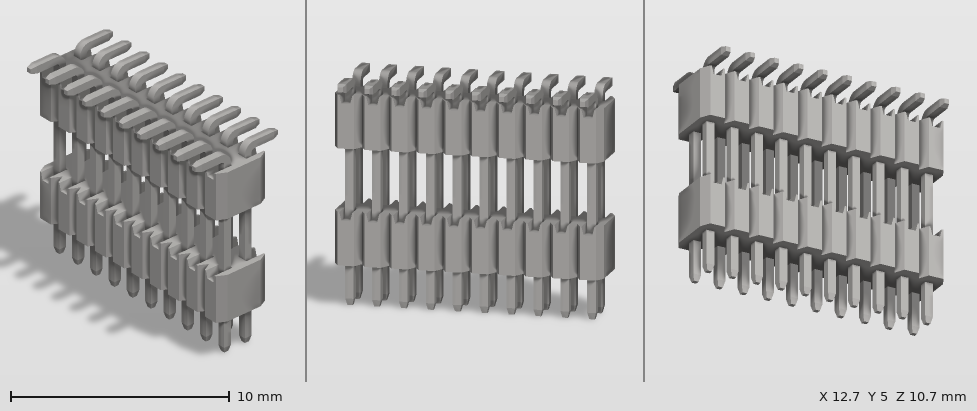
import cadquery as cq
import math

pin_count = 10
pitch = 1.27
row_spacing = 1.26

body_length = pin_count * pitch
body_width = 3.0
body_height = 2.5
body_gap = 3.0
upper_body_bottom = body_height + body_gap
upper_body_top = upper_body_bottom + body_height

notch_half_width = 0.25
notch_depth = 0.5

slot_depth = 0.4
slot_top_width = 0.61

pin_width = 0.41
pin_tip_width = 0.24
pin_tip_length = 0.32
pin_tail = 2.01
pin_rise = 0.7
pin_span = 5.0
bend_inner_radius = 0.18

pin_inner_y = (row_spacing - pin_width) / 2
pin_outer_y = pin_inner_y + pin_width
pin_top = upper_body_top + pin_rise
pin_xs = [(i - (pin_count - 1) / 2) * pitch for i in range(pin_count)]


def mirrored_rows(solid):
    """Add the copy belonging to the opposite pin row."""
    return solid.union(solid.mirror("XZ"))


def repeated_along_x(solid, positions):
    """Place a copy of the solid at each X position."""
    copies = cq.Workplane("XY")
    for x in positions:
        copies = copies.add(solid.val().moved(cq.Location(cq.Vector(x, 0, 0))))
    return copies.combine()


def make_notches():
    """V cutters along the +Y wall, centred on the edges of every position."""
    wall_y = body_width / 2
    notch = (
        cq.Workplane("XY")
        .polyline([(-notch_half_width, wall_y), (0, wall_y - notch_depth), (notch_half_width, wall_y)])
        .close()
        .extrude(body_height)
    )
    edge_xs = [i * pitch - body_length / 2 for i in range(pin_count + 1)]
    return repeated_along_x(notch, edge_xs)


def make_slots():
    """Cutters as wide as the pin at the floor, flaring toward the body top."""
    floor_z = body_height - slot_depth
    slot = (
        cq.Workplane("XZ", origin=(0, body_width / 2, 0))
        .polyline([
            (-pin_width / 2, floor_z),
            (pin_width / 2, floor_z),
            (slot_top_width / 2, body_height),
            (-slot_top_width / 2, body_height),
        ])
        .close()
        .extrude(body_width / 2 - pin_inner_y)
    )
    return repeated_along_x(slot, pin_xs)


def make_body():
    """Insulator body standing on Z = 0."""
    block = cq.Workplane("XY").box(body_length, body_width, body_height, centered=(True, True, False))
    return block.cut(mirrored_rows(make_notches())).cut(mirrored_rows(make_slots()))


def make_tip(plane):
    """Square taper starting on the given plane and narrowing along its normal."""
    return (
        cq.Workplane(plane)
        .rect(pin_width, pin_width)
        .workplane(offset=pin_tip_length)
        .rect(pin_tip_width, pin_tip_width)
        .loft(ruled=True)
    )


def make_pin():
    """One +Y row pin at X = 0: straight shank, outward bend and two tapered tips."""
    shank_bottom = pin_tip_length - pin_tail
    arm_end = pin_span / 2 - pin_tip_length
    arm_bottom = pin_top - pin_width
    bend_outer_radius = bend_inner_radius + pin_width
    bend_y = pin_outer_y + bend_inner_radius
    bend_z = arm_bottom - bend_inner_radius
    diagonal = math.sqrt(0.5)
    outer_mid = (bend_y - bend_outer_radius * diagonal, bend_z + bend_outer_radius * diagonal)
    inner_mid = (bend_y - bend_inner_radius * diagonal, bend_z + bend_inner_radius * diagonal)

    shank = (
        cq.Workplane("YZ")
        .moveTo(pin_inner_y, shank_bottom)
        .lineTo(pin_inner_y, bend_z)
        .threePointArc(outer_mid, (bend_y, pin_top))
        .lineTo(arm_end, pin_top)
        .lineTo(arm_end, arm_bottom)
        .lineTo(bend_y, arm_bottom)
        .threePointArc(inner_mid, (pin_outer_y, bend_z))
        .lineTo(pin_outer_y, shank_bottom)
        .close()
        .extrude(pin_width / 2, both=True)
    )
    tail_plane = cq.Plane(origin=(0, row_spacing / 2, shank_bottom), xDir=(1, 0, 0), normal=(0, 0, -1))
    arm_plane = cq.Plane(origin=(0, arm_end, pin_top - pin_width / 2), xDir=(1, 0, 0), normal=(0, 1, 0))
    return shank.union(make_tip(tail_plane)).union(make_tip(arm_plane))


body = make_body()
pins = mirrored_rows(repeated_along_x(make_pin(), pin_xs))
result = body.union(body.translate((0, 0, upper_body_bottom))).union(pins)